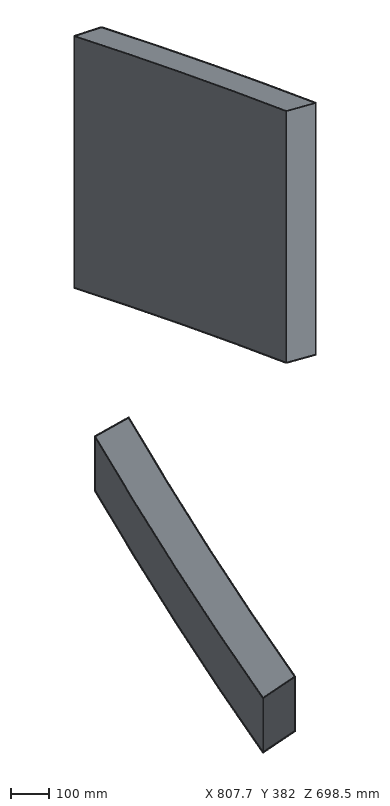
import cadquery as cq
import math

outer_radius = 10095.0
thickness = 102.0
height = 698.5
start_angle = 112.7
end_angle = 108.0

inner_radius = outer_radius - thickness
middle_angle = (start_angle + end_angle) / 2


def arc_point(radius, angle):
    """Point on a circle about the cylinder axis."""
    radians = math.radians(angle)
    return (radius * math.cos(radians), radius * math.sin(radians))


section = (
    cq.Workplane("XY")
    .moveTo(*arc_point(outer_radius, start_angle))
    .threePointArc(arc_point(outer_radius, middle_angle), arc_point(outer_radius, end_angle))
    .lineTo(*arc_point(inner_radius, end_angle))
    .threePointArc(arc_point(inner_radius, middle_angle), arc_point(inner_radius, start_angle))
    .close()
)

result = section.extrude(height)